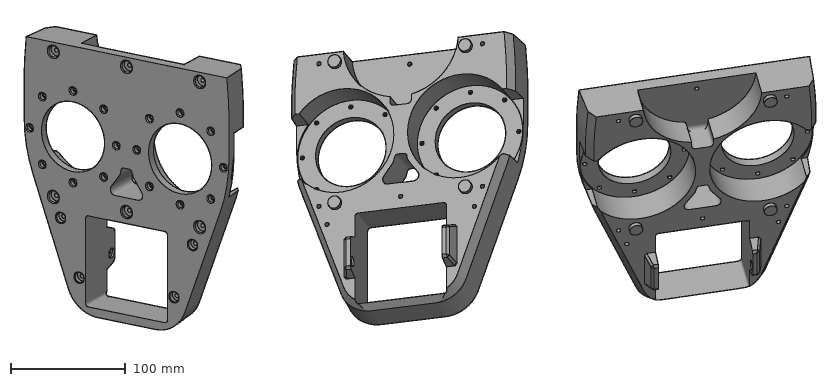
import cadquery as cq
import math

height = 246.7
body_depth = 36.0
bevel_depth = 8.1
side_draft = 4.7
bevel_angle = 35.0
chin_bevel_angle = 47.0
cut_margin = 24.7
selector_gap = 0.2

half_width = 104.98
straight_bottom = 171.7
straight_top = 213.7
upper_bend = (104.4, 227.2)
top_half_width = 103.0
jaw_radius = 148.0
jaw_angle = 20.0
chin_radius = 32.0

eye_x = 54.9
eye_z = 162.8
eye_diameter = 64.6
eye_plate = 8.1
eye_pocket_diameter = 97.2
side_opening_front = 9.9
side_opening_height = 60.0
eye_bolt_radius = 44.5
eye_bolt_rise = 42.5

bowl_radius = 52.8
bowl_center_z = height + 3.7
bowl_front = 10.5
channel_width = 19.7
channel_floor = 190.0
channel_corner = 4.0

nose_top = 143.5
nose_shoulder = 136.7
nose_bottom = 116.5
nose_top_half_width = 5.0
nose_bridge_half_width = 6.7
nose_base_half_width = 21.2
nose_top_round = 3.2
nose_corner_round = 5.0
nose_shoulder_round = 4.0

mouth_half_width = 42.0
mouth_bottom = 8.1
mouth_top = 92.5
mouth_round = 3.0

tab_height = 13.0
tab_bottom = 31.5
tab_top = 70.3
tab_base_width = 9.9
tab_end_width = 6.0
tab_end_slope = 4.7
tab_chamfer = 2.0
tab_embed = 2.5

tab_hole_behind = 7.5
tab_hole_z = 44.5
tab_hole_diameter = 2.0
tab_hole_depth = 5.0
tab_bore_diameter = 9.0
tab_bore_depth = 2.0

peg_diameter = 11.5
peg_height = 3.7
peg_x = 60.0
peg_levels = (104.0, 237.0)

hole_diameter = 3.7
frame_hole_x = 75.0
frame_hole_levels = (103.5, 237.8)
frame_bore = 10.4
frame_rim = 1.0
lower_holes = ((67.5, 85.4), (48.5, 33.5))
lower_bore = 9.1
lower_rim = 0.7
eye_bore = 6.0
eye_rim = 1.0
bore_depth = 5.0


def block(x_min, x_max, y_min, y_max, z_min, z_max):
    """Box between two opposite corners."""
    size = (x_max - x_min, y_max - y_min, z_max - z_min)
    return cq.Workplane("XY").box(*size, centered=False).translate((x_min, y_min, z_min))


def cylinder(x, z, diameter, y_min, y_max):
    """Cylinder along Y."""
    plane = cq.Workplane("XZ", origin=(0, y_min, 0))
    return plane.center(x, z).circle(diameter / 2).extrude(y_min - y_max)


def make_outline():
    """Face outline, carried past the top so that the top can be cut flat."""
    slope = math.radians(jaw_angle)
    jaw_x = half_width - jaw_radius * (1 - math.cos(slope))
    jaw_z = straight_bottom - jaw_radius * math.sin(slope)
    jaw_mid_x = half_width - jaw_radius * (1 - math.cos(slope / 2))
    jaw_mid_z = straight_bottom - jaw_radius * math.sin(slope / 2)

    corner_x = jaw_x - jaw_z * math.tan(slope)
    chin_x = corner_x - chin_radius * math.tan(math.pi / 4 - slope / 2)
    chin_mid = -(math.pi / 4 + slope / 2)
    chin_points = []
    for angle in (-slope, chin_mid):
        chin_points.append((chin_x + chin_radius * math.cos(angle),
                            chin_radius + chin_radius * math.sin(angle)))
    chin_start, chin_middle = chin_points

    bend_x, bend_z = upper_bend
    lean = (bend_x - top_half_width) / (height - bend_z)
    top_z = height + cut_margin
    top_x = top_half_width - lean * cut_margin

    return (
        cq.Workplane("XZ")
        .moveTo(-top_x, top_z)
        .lineTo(top_x, top_z)
        .lineTo(bend_x, bend_z)
        .lineTo(half_width, straight_top)
        .lineTo(half_width, straight_bottom)
        .threePointArc((jaw_mid_x, jaw_mid_z), (jaw_x, jaw_z))
        .lineTo(*chin_start)
        .threePointArc(chin_middle, (chin_x, 0))
        .lineTo(-chin_x, 0)
        .threePointArc((-chin_middle[0], chin_middle[1]), (-chin_start[0], chin_start[1]))
        .lineTo(-jaw_x, jaw_z)
        .threePointArc((-jaw_mid_x, jaw_mid_z), (-half_width, straight_bottom))
        .lineTo(-half_width, straight_top)
        .lineTo(-bend_x, bend_z)
        .close()
    )


def make_body():
    """Drafted block with a bevelled rear edge and a flat top."""
    body = make_outline().extrude(-(body_depth - bevel_depth), taper=side_draft)
    body = body.faces(">Y").wires().toPending().workplane().extrude(bevel_depth, taper=bevel_angle)
    top_waste = block(-half_width, half_width, 0, body_depth, height, height + cut_margin)
    return body.cut(top_waste).cut(make_chin_wedge())


def make_chin_wedge():
    """Waste below the steeper bevel along the bottom rear edge."""
    bevel_start = body_depth - bevel_depth
    start_z = bevel_start * math.tan(math.radians(side_draft))
    end_z = start_z + bevel_depth * math.tan(math.radians(chin_bevel_angle))
    wedge = cq.Workplane("YZ").polyline([(bevel_start, start_z), (body_depth, end_z),
                                         (body_depth, 0), (bevel_start, 0)])
    return wedge.close().extrude(half_width, both=True)


def cut_eyes(body):
    """Round window in the plate, and behind it a wider pocket open to the side."""
    pocket_top = eye_z + side_opening_height / 2
    pocket_bottom = eye_z - side_opening_height / 2
    for side in (-1, 1):
        x = side * eye_x
        outer_x = side * (half_width + cut_margin)
        window = cylinder(x, eye_z, eye_diameter, 0, body_depth)
        pocket = cylinder(x, eye_z, eye_pocket_diameter, eye_plate, body_depth)
        opening = block(min(x, outer_x), max(x, outer_x),
                        side_opening_front, body_depth, pocket_bottom, pocket_top)
        body = body.cut(window).cut(pocket).cut(opening)
    return body


def cut_bowl(body):
    """Round bowl at the top edge behind the plate, with a channel in its floor."""
    bowl = cylinder(0, bowl_center_z, 2 * bowl_radius, bowl_front, body_depth)
    channel = block(-channel_width / 2, channel_width / 2, bowl_front, body_depth,
                    channel_floor, height)
    channel = channel.faces("<Z").edges("|Y or <Y").fillet(channel_corner)
    return body.cut(bowl).cut(channel)


def cut_nose(body):
    """Rounded triangle with a narrow top through the full depth."""
    nose = (
        cq.Workplane("XZ")
        .moveTo(-nose_top_half_width, nose_top)
        .lineTo(nose_top_half_width, nose_top)
        .lineTo(nose_bridge_half_width, nose_shoulder)
        .lineTo(nose_base_half_width, nose_bottom)
        .lineTo(-nose_base_half_width, nose_bottom)
        .lineTo(-nose_bridge_half_width, nose_shoulder)
        .close()
        .extrude(-body_depth)
    )
    nose = nose.edges("|Y and <Z").fillet(nose_corner_round)
    nose = nose.edges("|Y and >Z").fillet(nose_top_round)
    shoulder_band = cq.selectors.BoxSelector(
        (-half_width, -cut_margin, nose_shoulder - selector_gap),
        (half_width, body_depth + cut_margin, nose_shoulder + selector_gap),
    )
    nose = nose.edges("|Y").edges(shoulder_band).fillet(nose_shoulder_round)
    return body.cut(nose)


def cut_mouth(body):
    """Square opening with rounded corners through the full depth."""
    mouth = block(-mouth_half_width, mouth_half_width, 0, body_depth, mouth_bottom, mouth_top)
    return body.cut(mouth.edges("|Y").fillet(mouth_round))


def make_tab():
    """Tapered tab on the right, its inner side flush with the mouth wall."""
    base_y = body_depth - tab_embed
    end_y = body_depth + tab_height
    inner_x = mouth_half_width
    plan = [(inner_x, base_y), (inner_x + tab_base_width, base_y),
            (inner_x + tab_base_width, body_depth), (inner_x + tab_end_width, end_y),
            (inner_x, end_y)]
    profile = [(base_y, tab_bottom), (body_depth, tab_bottom), (end_y, tab_bottom + tab_end_slope),
               (end_y, tab_top - tab_end_slope), (body_depth, tab_top), (base_y, tab_top)]
    wedge = cq.Workplane("XY").polyline(plan).close().extrude(height)
    sides = cq.Workplane("YZ").polyline(profile).close().extrude(half_width)
    tab = wedge.intersect(sides)
    free_edges = cq.selectors.BoxSelector(
        (inner_x + selector_gap, body_depth + selector_gap, 0),
        (half_width, end_y + selector_gap, height),
    )
    tab = tab.edges(free_edges).chamfer(tab_chamfer)

    hole_plane = cq.Workplane("YZ", origin=(inner_x, body_depth + tab_hole_behind, tab_hole_z))
    hole = hole_plane.circle(tab_hole_diameter / 2).extrude(tab_hole_depth)
    bore = hole_plane.circle(tab_bore_diameter / 2).extrude(tab_bore_depth)
    return tab.cut(hole).cut(bore)


def add_rear_features(body):
    """Mouth tabs and pegs on the rear face."""
    tab = make_tab()
    body = body.union(tab).union(tab.mirror("YZ"))
    for x in (-peg_x, peg_x):
        for z in peg_levels:
            body = body.union(cylinder(x, z, peg_diameter, body_depth - peg_height,
                                       body_depth + peg_height))
    return body


def screw_hole(x, z, bore, rim):
    """Tool for a through hole with a counterbore and a chamfered rim."""
    hole = cylinder(x, z, hole_diameter, 0, body_depth)
    counterbore = cylinder(x, z, bore, 0, bore_depth)
    rim_cone = cq.Workplane("XZ").center(x, z).circle(bore / 2 + rim).extrude(-rim, taper=45)
    return hole.union(counterbore).union(rim_cone)


def eye_screw_places():
    """Eight places around each eye."""
    diagonal = eye_bolt_radius * math.sqrt(0.5)
    offsets = [(-eye_bolt_radius, 0), (eye_bolt_radius, 0), (0, -eye_bolt_rise), (0, eye_bolt_rise)]
    offsets += [(i * diagonal, j * diagonal) for i in (-1, 1) for j in (-1, 1)]
    return [(side * eye_x + dx, eye_z + dz) for side in (-1, 1) for dx, dz in offsets]


def cut_screw_holes(body):
    """All screw holes of the frame, the lower jaw and the eyes."""
    for x in (-frame_hole_x, 0, frame_hole_x):
        for z in frame_hole_levels:
            body = body.cut(screw_hole(x, z, frame_bore, frame_rim))
    for x, z in lower_holes:
        for side in (-1, 1):
            body = body.cut(screw_hole(side * x, z, lower_bore, lower_rim))
    for x, z in eye_screw_places():
        body = body.cut(screw_hole(x, z, eye_bore, eye_rim))
    return body


body = make_body()
body = cut_eyes(body)
body = cut_bowl(body)
body = cut_nose(body)
body = cut_mouth(body)
body = add_rear_features(body)
result = cut_screw_holes(body)